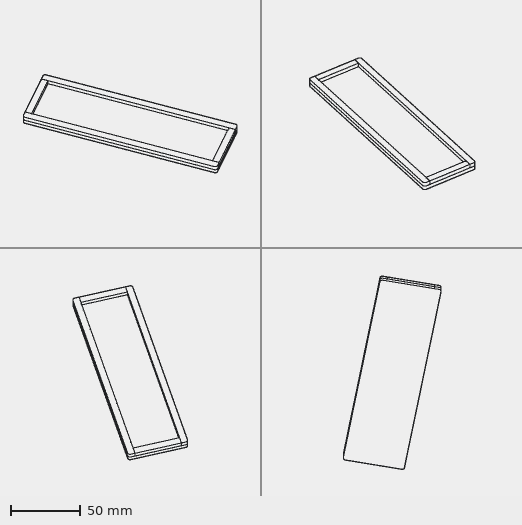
import cadquery as cq

length = 149.0
width = 45.0
height = 6.4

layer_thickness = height / 2
corner_radius = 1.8
frame_width = 5.0

end_bar_length = width - 2 * frame_width
rail_offset = (width - frame_width) / 2
end_bar_offset = (length - frame_width) / 2


def make_base_plate():
    """Flat plate with four rounded corners, resting on Z = 0."""
    plate = cq.Workplane("XY").box(length, width, layer_thickness, centered=(True, True, False))
    return plate.edges("|Z").fillet(corner_radius)


def make_side_rail(side):
    """Full-length rail on the +Y (side = 1) or -Y (side = -1) edge, rounded at its outer corners."""
    rail = (
        cq.Workplane("XY")
        .box(length, frame_width, layer_thickness, centered=(True, True, False))
        .translate((0, side * rail_offset, layer_thickness))
    )
    outer_face = ">Y" if side > 0 else "<Y"
    return rail.faces(outer_face).edges("|Z").fillet(corner_radius)


def make_end_bar(side):
    """Square-ended bar between the rails at the +X (side = 1) or -X (side = -1) end."""
    return (
        cq.Workplane("XY")
        .box(frame_width, end_bar_length, layer_thickness, centered=(True, True, False))
        .translate((side * end_bar_offset, 0, layer_thickness))
    )


base_plate = make_base_plate()
side_rails = [make_side_rail(side).val() for side in (-1, 1)]
end_bars = [make_end_bar(side).val() for side in (-1, 1)]

result = cq.Compound.makeCompound([base_plate.val(), *side_rails, *end_bars])